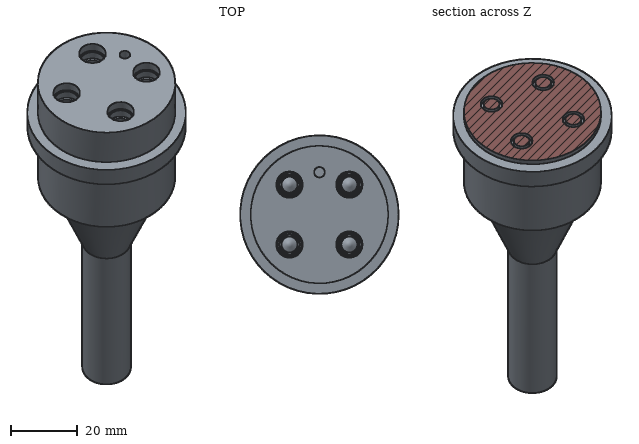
import cadquery as cq
import math

total_height = 124.33
cable_diameter = 14.73
body_diameter = 41.27
collar_diameter = 47.62
taper_top_diameter = 34.92

collar_top_depth = 12.95
collar_height = 6.35
body_height = 41.27
taper_height = 27.94

pitch_radius = 12.7
first_socket_angle = 45
socket_count = 4
key_angle = 90
key_diameter = 3.17
key_depth = 6.35

mouth_diameter = 7.92
mouth_depth = 6.35
bore_diameter = 6.35
socket_depth = 12.7
rib_radius = 0.28
mouth_rib_depth = 3.0
bore_rib_depth = (mouth_depth + socket_depth) / 2

pin_diameter = 4.78
pin_tip_depth = 6.8
pin_tip_height = 1.2

body_bottom = total_height - body_height
taper_bottom = body_bottom - taper_height


def make_shell():
    """Cable, taper, body and collar as one turned profile."""
    collar_top = total_height - collar_top_depth
    collar_bottom = collar_top - collar_height
    return (
        cq.Workplane("XZ")
        .moveTo(0, 0)
        .lineTo(cable_diameter / 2, 0)
        .lineTo(cable_diameter / 2, taper_bottom)
        .lineTo(taper_top_diameter / 2, body_bottom)
        .lineTo(body_diameter / 2, body_bottom)
        .lineTo(body_diameter / 2, collar_bottom)
        .lineTo(collar_diameter / 2, collar_bottom)
        .lineTo(collar_diameter / 2, collar_top)
        .lineTo(body_diameter / 2, collar_top)
        .lineTo(body_diameter / 2, total_height)
        .lineTo(0, total_height)
        .close()
        .revolve(360, (0, 0), (0, 1))
    )


def add_rib(profile, wall_radius, rib_depth):
    """Run down the wall and around a half-round rib that stands inward from it."""
    rib_top = total_height - rib_depth
    return (
        profile
        .lineTo(wall_radius, rib_top)
        .threePointArc((wall_radius - rib_radius, rib_top - rib_radius), (wall_radius, rib_top - 2 * rib_radius))
    )


def make_socket():
    """Cavity left around the pin, turned about Z."""
    mouth_radius = mouth_diameter / 2
    bore_radius = bore_diameter / 2
    pin_radius = pin_diameter / 2
    step = total_height - mouth_depth
    floor = total_height - socket_depth
    pin_tip = total_height - pin_tip_depth
    profile = cq.Workplane("XZ").moveTo(0, total_height).lineTo(mouth_radius, total_height)
    profile = add_rib(profile, mouth_radius, mouth_rib_depth)
    profile = profile.lineTo(mouth_radius, step).lineTo(bore_radius, step)
    profile = add_rib(profile, bore_radius, bore_rib_depth)
    profile = profile.lineTo(bore_radius, floor).lineTo(pin_radius, floor)
    profile = profile.lineTo(pin_radius, pin_tip - pin_tip_height).lineTo(0, pin_tip).close()
    return profile.revolve(360, (0, 0), (0, 1))


def on_pitch_circle(cutter, angle_degrees):
    angle = math.radians(angle_degrees)
    return cutter.translate((pitch_radius * math.cos(angle), pitch_radius * math.sin(angle), 0))


def make_key_hole():
    return (
        cq.Workplane("XY")
        .workplane(offset=total_height - key_depth)
        .circle(key_diameter / 2)
        .extrude(key_depth)
    )


result = make_shell()
socket = make_socket()
for index in range(socket_count):
    result = result.cut(on_pitch_circle(socket, first_socket_angle + index * 360 / socket_count))
result = result.cut(on_pitch_circle(make_key_hole(), key_angle))